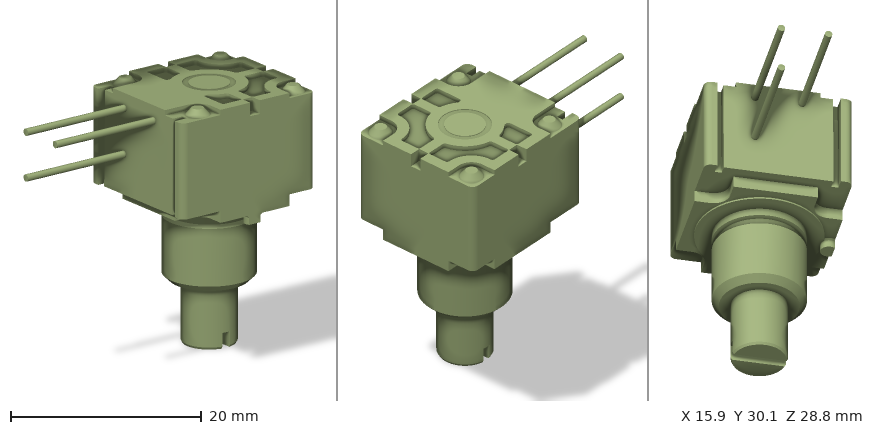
import cadquery as cq


WIDTH = 15.9
LENGTH = 30.15
HALF_WIDTH = WIDTH / 2
FRONT_Y = -9.55
HOUSING_DEPTH = 11.22
BASE_DEPTH = 12.5
CORNER_RADIUS = 0.75

FACE_TOP_Y = -9.23
FACE_DRAFT = 0.12
SLOT_INNER_X = 5.88
SLOT_OUTER_X = 6.63
SLOT_WALL_TOP_Y = -8.23
SLOT_UPPER_Y = -7.95
SLOT_UPPER_DEPTH = 2.5

RIVET_OFFSET = 6.27
RIVET_BASE_RADIUS = 1.33
RIVET_TIP_RADIUS = 0.65
RIVET_TIP_Z = 0.18
RELIEF_RADIUS = 1.75
RELIEF_DEPTH = 0.57

RECESS_DEPTH = RELIEF_DEPTH
RECESS_OUTER = 6.63
RECESS_INNER_X = 3.2
RECESS_FRONT_Y = -3.23
RECESS_HUB_RADIUS = 4.13
RECESS_RIVET_RADIUS = 3.0
RECESS_FILLET = 0.3
NOTCH_WIDTH = 1.27
NOTCH_DEPTH = 1.5
RING_OUTER_RADIUS = 2.83
RING_INNER_RADIUS = 2.2
RING_DEPTH = 0.1

FLANGE_RADIUS = 6.85
FLANGE_Z = -12.7
BUSHING_RADIUS = 5.0
NECK_RADIUS = 4.52
COLLAR_Z = -13.5
NECK_TOP_Z = -13.63
NECK_BOTTOM_Z = -14.25
BARREL_TOP_Z = -14.55
BARREL_BOTTOM_Z = -20.95
BUSHING_END_Z = -21.68
BUSHING_CHAMFER = BUSHING_RADIUS - 4.25
SHAFT_RADIUS = 3.0
SHAFT_END_Z = -28.65
SHAFT_CHAMFER_WIDTH = 0.15
SHAFT_CHAMFER_HEIGHT = 0.27
DRIVER_SLOT_WIDTH = 1.0
DRIVER_SLOT_DEPTH = 1.78

PEG_X = 7.45
PEG_RADIUS = 0.9
PEG_FLARE = 0.18
PEG_END_Z = COLLAR_Z

PIN_RADIUS = 0.4
PIN_X = 2.53
PIN_PITCH = 2 * PIN_X
PIN_UPPER_Z = -1.7
PIN_TIP_Y = HALF_WIDTH - LENGTH

OVERRUN = 6.03


def block(x_min, x_max, y_min, y_max, z_min, z_max):
    return cq.Workplane("XY").box(
        x_max - x_min, y_max - y_min, z_max - z_min, centered=False
    ).translate((x_min, y_min, z_min))


def cylinder(radius, z_min, z_max, x=0.0, y=0.0):
    return cq.Workplane("XY").workplane(offset=z_min).center(x, y).circle(radius).extrude(z_max - z_min)


def turned(profile):
    """Solid of revolution about Z from (radius, z) points."""
    return cq.Workplane("XZ").polyline(profile).close().revolve(360, (0, 0), (0, 1))


def with_mirror(shape):
    """The shape together with its copy across the YZ plane."""
    return shape.union(shape.mirror("YZ"))


def corner_reliefs(z_min, z_max):
    """Cutters for the four corners, each rounded around its rivet centre."""
    inner = RIVET_OFFSET - RELIEF_RADIUS
    outer = HALF_WIDTH + OVERRUN
    corner = block(inner, outer, inner, outer, z_min, z_max)
    corner = corner.edges("|Z and <X and <Y").fillet(RELIEF_RADIUS)
    pair = with_mirror(corner)
    return pair.union(pair.mirror("XZ"))


def front_cutter(x_min, x_max, wall_top_y):
    """Cutter leaving a front wall that leans forward towards its foot."""
    wall_foot_y = wall_top_y - FACE_DRAFT
    clear_y = FRONT_Y - OVERRUN
    return (
        cq.Workplane("YZ").workplane(offset=x_min)
        .polyline([
            (wall_top_y, 0),
            (wall_foot_y, -HOUSING_DEPTH),
            (clear_y, -HOUSING_DEPTH),
            (clear_y, 0),
        ])
        .close()
        .extrude(x_max - x_min)
    )


def make_housing():
    upper = block(-HALF_WIDTH, HALF_WIDTH, FRONT_Y, HALF_WIDTH, -HOUSING_DEPTH, 0)
    upper = upper.edges("|Z").fillet(CORNER_RADIUS)
    base = block(-HALF_WIDTH, HALF_WIDTH, -HALF_WIDTH, HALF_WIDTH, -BASE_DEPTH, -HOUSING_DEPTH)
    base = base.cut(corner_reliefs(-BASE_DEPTH, -HOUSING_DEPTH))

    slot = front_cutter(SLOT_INNER_X, SLOT_OUTER_X, SLOT_WALL_TOP_Y)
    slot = slot.union(
        block(SLOT_INNER_X, SLOT_OUTER_X, FRONT_Y - OVERRUN, SLOT_UPPER_Y, -SLOT_UPPER_DEPTH, 0)
    )
    upper = upper.cut(front_cutter(-SLOT_OUTER_X, SLOT_OUTER_X, FACE_TOP_Y))
    upper = upper.cut(with_mirror(slot))
    upper = upper.cut(corner_reliefs(-RELIEF_DEPTH, 0))
    return upper.union(base)


def rear_recess():
    """Recess between the hub and a rear rivet, in the +X +Y quarter."""
    edge = NOTCH_WIDTH / 2
    recess = block(edge, RECESS_OUTER, edge, RECESS_OUTER, -RECESS_DEPTH, 0)
    recess = recess.cut(cylinder(RECESS_HUB_RADIUS, -RECESS_DEPTH, 0))
    recess = recess.cut(
        cylinder(RECESS_RIVET_RADIUS, -RECESS_DEPTH, 0, RIVET_OFFSET, RIVET_OFFSET)
    )
    return recess.edges("|Z").fillet(RECESS_FILLET)


def front_recess():
    """Smaller recess beside the hub, in the +X -Y quarter."""
    recess = block(
        RECESS_INNER_X, RECESS_OUTER, RECESS_FRONT_Y, -NOTCH_WIDTH / 2, -RECESS_DEPTH, 0
    )
    recess = recess.cut(cylinder(RECESS_HUB_RADIUS, -RECESS_DEPTH, 0))
    return recess.edges("|Z").fillet(RECESS_FILLET)


def top_cutters():
    half_notch = NOTCH_WIDTH / 2
    outside = HALF_WIDTH + OVERRUN
    side_notch = block(RECESS_OUTER, outside, -half_notch, half_notch, -NOTCH_DEPTH, 0)
    rear_notch = block(-half_notch, half_notch, RECESS_OUTER, outside, -NOTCH_DEPTH, 0)
    ring = cylinder(RING_OUTER_RADIUS, -RING_DEPTH, 0).cut(
        cylinder(RING_INNER_RADIUS, -RING_DEPTH, 0)
    )
    mirrored = [rear_recess(), front_recess(), side_notch]
    return [with_mirror(cutter) for cutter in mirrored] + [rear_notch, ring]


def make_rivet(x, y):
    rivet = turned([
        (0, -RELIEF_DEPTH),
        (RIVET_BASE_RADIUS, -RELIEF_DEPTH),
        (RIVET_TIP_RADIUS, RIVET_TIP_Z),
        (0, RIVET_TIP_Z),
    ])
    return rivet.translate((x, y, 0))


def make_bushing_and_shaft():
    body = turned([
        (0, -BASE_DEPTH),
        (FLANGE_RADIUS, -BASE_DEPTH),
        (FLANGE_RADIUS, FLANGE_Z),
        (BUSHING_RADIUS, FLANGE_Z),
        (BUSHING_RADIUS, COLLAR_Z),
        (NECK_RADIUS, NECK_TOP_Z),
        (NECK_RADIUS, NECK_BOTTOM_Z),
        (BUSHING_RADIUS, BARREL_TOP_Z),
        (BUSHING_RADIUS, BARREL_BOTTOM_Z),
        (BUSHING_RADIUS - BUSHING_CHAMFER, BUSHING_END_Z),
        (SHAFT_RADIUS, BUSHING_END_Z),
        (SHAFT_RADIUS, SHAFT_END_Z + SHAFT_CHAMFER_HEIGHT),
        (SHAFT_RADIUS - SHAFT_CHAMFER_WIDTH, SHAFT_END_Z),
        (0, SHAFT_END_Z),
    ])
    driver_slot = block(
        -SHAFT_RADIUS, SHAFT_RADIUS,
        -DRIVER_SLOT_WIDTH / 2, DRIVER_SLOT_WIDTH / 2,
        SHAFT_END_Z, SHAFT_END_Z + DRIVER_SLOT_DEPTH,
    )
    return body.cut(driver_slot)


def make_peg():
    peg = turned([
        (0, -BASE_DEPTH),
        (PEG_RADIUS + PEG_FLARE, -BASE_DEPTH),
        (PEG_RADIUS, -BASE_DEPTH - PEG_FLARE),
        (PEG_RADIUS, PEG_END_Z),
        (0, PEG_END_Z),
    ])
    side_trim = block(
        HALF_WIDTH, HALF_WIDTH + OVERRUN, -OVERRUN, OVERRUN, PEG_END_Z, -BASE_DEPTH
    )
    return peg.translate((PEG_X, 0, 0)).cut(side_trim)


def make_pin(x, z):
    root_y = FACE_TOP_Y + PIN_RADIUS
    return (
        cq.Workplane("XZ", origin=(x, root_y, z))
        .circle(PIN_RADIUS)
        .extrude(root_y - PIN_TIP_Y)
    )


result = make_housing()
for cutter in top_cutters():
    result = result.cut(cutter)

for rivet_x in (-RIVET_OFFSET, RIVET_OFFSET):
    for rivet_y in (-RIVET_OFFSET, RIVET_OFFSET):
        result = result.union(make_rivet(rivet_x, rivet_y))

result = result.union(make_bushing_and_shaft())
result = result.union(make_peg())

pin_places = [
    (-PIN_X, PIN_UPPER_Z),
    (PIN_X, PIN_UPPER_Z),
    (-PIN_X, PIN_UPPER_Z - PIN_PITCH),
]
for pin_x, pin_z in pin_places:
    result = result.union(make_pin(pin_x, pin_z))